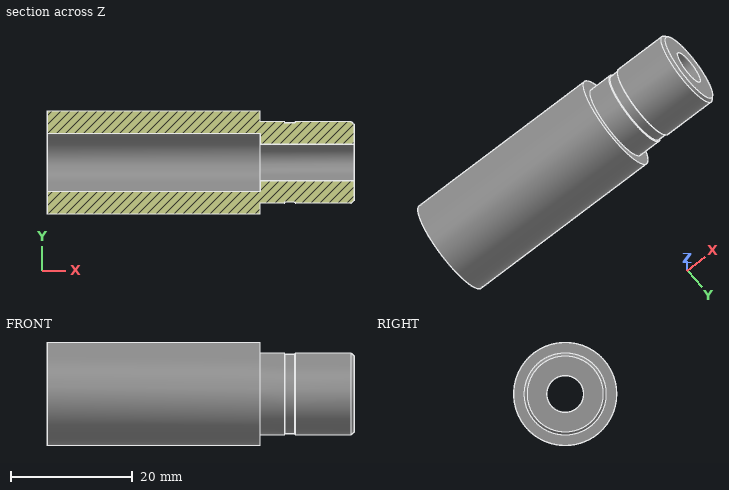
import cadquery as cq

total_length = 50.5
body_diameter = 17.0
body_length = 35.0

spigot_diameter = 13.5
spigot_chamfer = 0.5
spigot_length = total_length - body_length

groove_offset = 4.0
groove_width = 1.8
groove_depth = 0.2
groove_flank_run = 0.1

counterbore_diameter = 9.5
counterbore_depth = body_length
bore_diameter = 6.0


def cylinder_along_x(diameter, start, length):
    """Solid cylinder on the X axis, beginning at x = start."""
    return cq.Workplane("YZ", origin=(start, 0, 0)).circle(diameter / 2).extrude(length)


def make_groove():
    """Ring with a trapezoidal section, wide at the spigot surface."""
    start = body_length + groove_offset
    end = start + groove_width
    surface_radius = spigot_diameter / 2
    floor_radius = surface_radius - groove_depth
    section = (
        cq.Workplane("XY")
        .moveTo(start, surface_radius)
        .lineTo(start + groove_flank_run, floor_radius)
        .lineTo(end - groove_flank_run, floor_radius)
        .lineTo(end, surface_radius)
        .close()
    )
    return section.revolve(360, (0, 0, 0), (1, 0, 0))


def make_spigot():
    """Spigot with a chamfered free end and a shallow groove."""
    spigot = cylinder_along_x(spigot_diameter, body_length, spigot_length)
    spigot = spigot.faces(">X").edges().chamfer(spigot_chamfer)
    return spigot.cut(make_groove())


def make_stepped_bore():
    """Wide bore from the body end, continuing as a narrow through hole."""
    through_hole = cylinder_along_x(bore_diameter, 0, total_length)
    counterbore = cylinder_along_x(counterbore_diameter, 0, counterbore_depth)
    return through_hole.union(counterbore)


body = cylinder_along_x(body_diameter, 0, body_length)
result = body.union(make_spigot()).cut(make_stepped_bore())